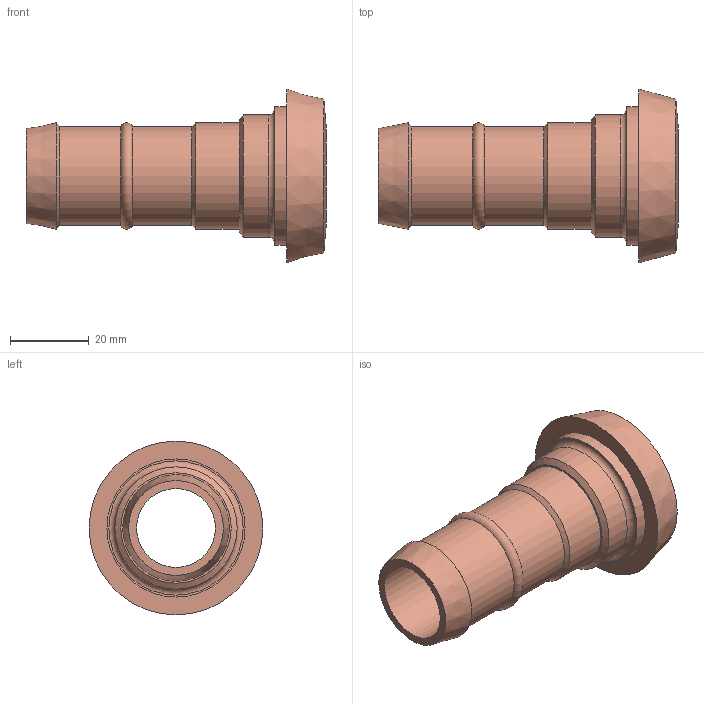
import cadquery as cq
import math


tail_length = 54.0
tail_bore_radius = 20.0 / 2
tube_radius = 25.0 / 2
tail_rim_radius = 27.0 / 2
nose_radius = 12.0
barb_crest_x = 7.8
barb_end_x = 8.5
bead_center_x = 25.5
bead_half_width = 1.5
sleeve_start_x = 42.0
sleeve_chamfer = tail_rim_radius - tube_radius

total_length = 76.0
liner_bore_radius = 26.0 / 2
weld_end_radius = 31.0 / 2
weld_bevel_length = 1.0
weld_bevel_depth = 1.5
collar_radius = 35.0 / 2
collar_start_x = 63.0
collar_fillet = 1.5
head_start_x = 66.0
head_radius = 44.0 / 2
head_cone_angle = 15.0
head_cone_end_x = 75.45


def revolve_about_x(profile):
    """Turn a closed profile (axial position, radius) into a solid of revolution."""
    return profile.close().revolve(360, (0, 0, 0), (1, 0, 0))


def make_hose_tail():
    profile = (
        cq.Workplane("XY")
        .moveTo(0, tail_bore_radius)
        .lineTo(0, nose_radius)
        .lineTo(barb_crest_x, tail_rim_radius)
        .lineTo(barb_end_x, tube_radius)
        .lineTo(bead_center_x - bead_half_width, tube_radius)
        .threePointArc(
            (bead_center_x, tail_rim_radius),
            (bead_center_x + bead_half_width, tube_radius),
        )
        .lineTo(sleeve_start_x, tube_radius)
        .lineTo(sleeve_start_x + sleeve_chamfer, tail_rim_radius)
        .lineTo(tail_length, tail_rim_radius)
        .lineTo(tail_length, tail_bore_radius)
    )
    return revolve_about_x(profile)


def make_liner():
    fillet_start_x = collar_start_x - collar_fillet
    fillet_top_radius = weld_end_radius + collar_fillet
    fillet_mid_x = fillet_start_x + collar_fillet * math.sin(math.radians(45))
    fillet_mid_radius = fillet_top_radius - collar_fillet * math.cos(math.radians(45))

    head_cone_length = head_cone_end_x - head_start_x
    head_end_radius = head_radius - head_cone_length * math.tan(math.radians(head_cone_angle))

    profile = (
        cq.Workplane("XY")
        .moveTo(tail_length, liner_bore_radius)
        .lineTo(tail_length, weld_end_radius - weld_bevel_depth)
        .lineTo(tail_length + weld_bevel_length, weld_end_radius)
        .lineTo(fillet_start_x, weld_end_radius)
        .threePointArc((fillet_mid_x, fillet_mid_radius), (collar_start_x, fillet_top_radius))
        .lineTo(collar_start_x, collar_radius)
        .lineTo(head_start_x, collar_radius)
        .lineTo(head_start_x, head_radius)
        .lineTo(head_cone_end_x, head_end_radius)
        .lineTo(total_length, liner_bore_radius)
    )
    return revolve_about_x(profile)


hose_tail = make_hose_tail()
liner = make_liner()

result = cq.Compound.makeCompound([hose_tail.val(), liner.val()])